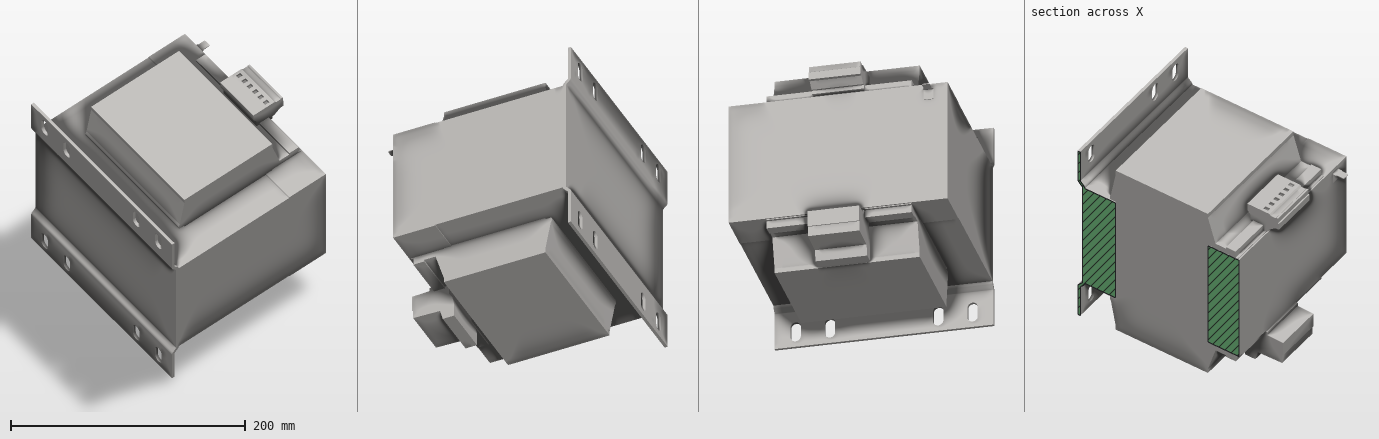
import cadquery as cq
import math


CORE_WIDTH = 192.0
CORE_HALF_HEIGHT = 55.0
CORE_BACK = 167.6

PLATE_THICKNESS = 2.9
PLATE_OFFSET = 4.6
BEND_ANGLE = 45
PLATE_HALF_HEIGHT = 94.3
FLANGE_START = 59.7
BEND_RADIUS = 0.5
CORE_FRONT = PLATE_OFFSET + PLATE_THICKNESS

SLOT_WIDTH = 9.0
SLOT_LENGTH = 18.0
SLOT_HEIGHT = 80.0
SLOT_POSITIONS = (47.5, 77.5)

SHEET_THICKNESS = 0.8
SHEET_FRONT = 127.9
SHEET_FACE = CORE_HALF_HEIGHT + SHEET_THICKNESS

WINDOW_CLEARANCE = 0.5

WINDING_FRONT = 39.4
WINDING_BACK = 135.2
WINDING_HALF_HEIGHT = 91.5
COIL_WIDTH = 127.3
COIL_SHOULDER = 87.2
COIL_FRONT = 33.2
TOE_CHAMFER_LENGTH = 1.0
TOE_CHAMFER_HEIGHT = 0.8
TOE_TOP = 58.8
SLOPE_FOOT_Y = 34.4
SLOPE_FOOT_HEIGHT = 61.0
COIL_SLOPE_BACK = 143.0
LEDGE_HEIGHT = 61.5
RIM_HEIGHT = 63.2
RIM_FRONT = 153.8
RIM_BACK = 164.0
LIP_BACK = 166.3
LIP_HEIGHT = 56.5

TERMINAL_WIDTH = 45.3
TERMINAL_BACK = 184.5
TERMINAL_TOP = 79.3
TERMINAL_BOTTOM = -95.6
FOOT_BACK = 168.2
FOOT_HEIGHT = 58.2

OPENING_COUNT = 6
OPENING_PITCH = 7.3
OPENING_WIDTH = 3.5
OPENING_LENGTH = 4.8
OPENING_Y = 164.5
OPENING_DEPTH = 2.0

TAB_X = -79.5
TAB_THICKNESS = 0.8
TAB_TOP = 50.7
TAB_LEG_BOTTOM = 40.9
TAB_BASE_WIDTH = 8.5
TAB_BLADE_WIDTH = 7.0
TAB_STEP_Y = 171.3
TAB_TIP_Y = 178.8
TAB_TIP_CHAMFER = 0.8


def extrude_across(points, width):
    """Extrude a (Y, Z) outline along X, centred on X = 0."""
    return cq.Workplane("YZ").polyline(points).close().extrude(width / 2, both=True)


def block(width, y_range, z_range, x_centre=0.0):
    """Box centred on x_centre that fills the given Y and Z ranges."""
    y0, y1 = y_range
    z0, z1 = z_range
    return cq.Workplane("XY").box(width, y1 - y0, z1 - z0).translate(
        (x_centre, (y0 + y1) / 2, (z0 + z1) / 2)
    )


def make_core():
    core = block(CORE_WIDTH, (CORE_FRONT, CORE_BACK), (-CORE_HALF_HEIGHT, CORE_HALF_HEIGHT))
    sheets = block(CORE_WIDTH, (SHEET_FRONT, CORE_BACK), (-SHEET_FACE, SHEET_FACE))
    window = block(
        COIL_WIDTH + 2 * WINDOW_CLEARANCE, (WINDING_FRONT, WINDING_BACK), (-SHEET_FACE, SHEET_FACE)
    )
    return core.union(sheets).cut(window)


def make_mounting_plate():
    bend_shift = PLATE_THICKNESS * math.tan(math.radians(BEND_ANGLE / 2))
    web_outer = (PLATE_OFFSET, FLANGE_START - PLATE_OFFSET)
    flange_outer = (0, FLANGE_START)
    flange_inner = (PLATE_THICKNESS, FLANGE_START + bend_shift)
    web_inner = (CORE_FRONT, FLANGE_START - PLATE_OFFSET + bend_shift)
    upper = [
        web_outer,
        flange_outer,
        (0, PLATE_HALF_HEIGHT),
        (PLATE_THICKNESS, PLATE_HALF_HEIGHT),
        flange_inner,
        web_inner,
    ]
    lower = [(y, -z) for y, z in reversed(upper)]
    plate = extrude_across(upper + lower, CORE_WIDTH)

    bends = (
        (web_outer, BEND_RADIUS),
        (flange_inner, BEND_RADIUS),
        (web_inner, BEND_RADIUS + PLATE_THICKNESS),
        (flange_outer, BEND_RADIUS + PLATE_THICKNESS),
    )
    for (y, z), radius in bends:
        for side in (1, -1):
            corner = cq.selectors.NearestToPointSelector((0, y, side * z))
            plate = plate.edges("|X").edges(corner).fillet(radius)

    slot_centres = [
        (x_side * x, z_side * SLOT_HEIGHT)
        for x in SLOT_POSITIONS
        for x_side in (1, -1)
        for z_side in (1, -1)
    ]
    slots = (
        cq.Workplane("XZ")
        .pushPoints(slot_centres)
        .slot2D(SLOT_LENGTH, SLOT_WIDTH, 90)
        .extrude(-PLATE_THICKNESS)
    )
    return plate.cut(slots)


def make_coil():
    winding = block(
        COIL_WIDTH,
        (WINDING_FRONT, WINDING_BACK),
        (-WINDING_HALF_HEIGHT, WINDING_HALF_HEIGHT),
    )
    upper_outline = [
        (COIL_FRONT + TOE_CHAMFER_LENGTH, SHEET_FACE),
        (COIL_FRONT, SHEET_FACE + TOE_CHAMFER_HEIGHT),
        (COIL_FRONT, TOE_TOP),
        (SLOPE_FOOT_Y, SLOPE_FOOT_HEIGHT),
        (WINDING_FRONT, COIL_SHOULDER),
        (WINDING_FRONT, WINDING_HALF_HEIGHT),
        (WINDING_BACK, WINDING_HALF_HEIGHT),
        (WINDING_BACK, COIL_SHOULDER),
        (COIL_SLOPE_BACK, LEDGE_HEIGHT),
        (RIM_FRONT, LEDGE_HEIGHT),
        (RIM_FRONT, RIM_HEIGHT),
        (RIM_BACK, RIM_HEIGHT),
        (RIM_BACK, LIP_HEIGHT),
        (LIP_BACK, LIP_HEIGHT),
        (LIP_BACK, SHEET_FACE),
    ]
    lower_outline = [(y, -z) for y, z in upper_outline]
    upper_end = extrude_across(upper_outline, COIL_WIDTH)
    lower_end = extrude_across(lower_outline, COIL_WIDTH)
    return winding.union(upper_end).union(lower_end)


def make_upper_terminal():
    outline = [
        (RIM_BACK, FOOT_HEIGHT),
        (FOOT_BACK, FOOT_HEIGHT),
        (FOOT_BACK, LEDGE_HEIGHT),
        (170.1, LEDGE_HEIGHT),
        (176.8, 66.2),
        (180.3, 66.2),
        (180.3, 73.0),
        (179.3, 73.5),
        (179.3, 78.5),
        (177.6, 78.5),
        (176.8, 77.8),
        (172.0, 77.8),
        (170.5, TERMINAL_TOP),
        (147.5, TERMINAL_TOP),
        (147.5, 72.4),
        (150.7, 68.2),
        (150.7, LEDGE_HEIGHT),
        (RIM_BACK, LEDGE_HEIGHT),
    ]
    openings = (
        cq.Workplane("XY", origin=(0, OPENING_Y, TERMINAL_TOP))
        .rarray(OPENING_PITCH, 2, OPENING_COUNT, 1)
        .rect(OPENING_WIDTH, OPENING_LENGTH)
        .extrude(-OPENING_DEPTH)
    )
    return extrude_across(outline, TERMINAL_WIDTH).cut(openings)


def make_lower_terminal():
    outline = [
        (RIM_BACK, -FOOT_HEIGHT),
        (FOOT_BACK, -FOOT_HEIGHT),
        (FOOT_BACK, -LEDGE_HEIGHT),
        (TERMINAL_BACK, -62.0),
        (TERMINAL_BACK, -76.5),
        (183.5, -76.5),
        (183.5, -85.5),
        (158.2, -86.2),
        (155.7, TERMINAL_BOTTOM),
        (145.0, TERMINAL_BOTTOM),
        (145.0, -83.0),
        (146.7, -75.3),
        (150.0, -69.9),
        (150.0, -LEDGE_HEIGHT),
        (RIM_BACK, -LEDGE_HEIGHT),
    ]
    return extrude_across(outline, TERMINAL_WIDTH)


def make_earth_tab():
    leg = block(
        TAB_BASE_WIDTH, (CORE_BACK, CORE_BACK + TAB_THICKNESS), (TAB_LEG_BOTTOM, TAB_TOP), TAB_X
    )
    tab_thickness_range = (TAB_TOP - TAB_THICKNESS, TAB_TOP)
    base = block(TAB_BASE_WIDTH, (CORE_BACK, TAB_STEP_Y), tab_thickness_range, TAB_X)
    blade = block(TAB_BLADE_WIDTH, (CORE_BACK, TAB_TIP_Y), tab_thickness_range, TAB_X)
    blade = blade.edges("|Z and >Y").chamfer(TAB_TIP_CHAMFER)
    return leg.union(base).union(blade)


result = (
    make_core()
    .union(make_mounting_plate())
    .union(make_coil())
    .union(make_upper_terminal())
    .union(make_lower_terminal())
    .union(make_earth_tab())
)